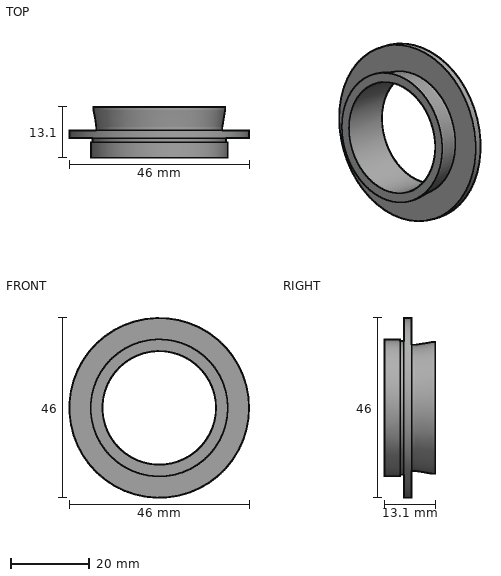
import cadquery as cq

bore_radius = 14.5
lip_radius = 17.53
groove_radius = 17.1
flange_radius = 23.0
neck_radius = 16.15
rim_radius = 16.9

lip_length = 4.0
groove_length = 1.0
flange_thickness = 2.0
neck_length = 0.85
flare_length = 4.45
rim_length = 0.75

groove_start = lip_length
flange_front = groove_start + groove_length
flange_back = flange_front + flange_thickness
flare_start = flange_back + neck_length
rim_start = flare_start + flare_length
back_face = rim_start + rim_length

section = (
    cq.Workplane("XY")
    .moveTo(bore_radius, 0)
    .lineTo(lip_radius, 0)
    .lineTo(lip_radius, groove_start)
    .lineTo(groove_radius, groove_start)
    .lineTo(groove_radius, flange_front)
    .lineTo(flange_radius, flange_front)
    .lineTo(flange_radius, flange_back)
    .lineTo(neck_radius, flange_back)
    .lineTo(neck_radius, flare_start)
    .lineTo(rim_radius, rim_start)
    .lineTo(rim_radius, back_face)
    .lineTo(bore_radius, back_face)
    .close()
)

result = section.revolve(360, (0, 0, 0), (0, 1, 0))